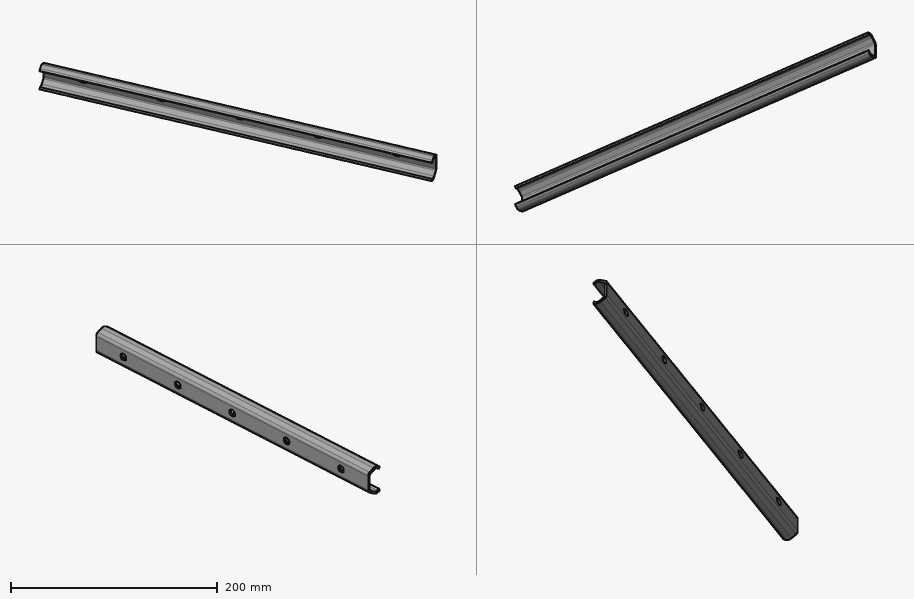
import cadquery as cq
import math

LENGTH = 400.0
DEPTH = 15.0
HEIGHT = 29.5
THICKNESS = 2.5

FLANK_ANGLE = math.radians(30)
CREST_RADIUS = 6.0
CREST_OFFSET = 10.0
WEB_RADIUS = 4.0

SLOT_COUNT = 5
SLOT_PITCH = LENGTH / SLOT_COUNT
SLOT_LENGTH = 8.5
SLOT_WIDTH = 6.5

BACK_Y = DEPTH / 2
FRONT_Y = -DEPTH / 2
CREST_Y = BACK_Y - CREST_OFFSET


def bend(solid, y, z, radius):
    """Round the lengthwise edge at (y, z)."""
    margin = THICKNESS / 10
    picker = cq.selectors.BoxSelector(
        (-LENGTH, y - margin, z - margin),
        (LENGTH, y + margin, z + margin),
    )
    return solid.edges("|X").edges(picker).fillet(radius)


def upper_half():
    """Upper half of the rail: half web, sloping flank and returning lip."""
    slope = math.tan(FLANK_ANGLE)
    wall_drop = THICKNESS / math.cos(FLANK_ANGLE)

    apex_z = HEIGHT / 2 + CREST_RADIUS * (1 / math.cos(FLANK_ANGLE) - 1)
    outer_web = (BACK_Y, apex_z - CREST_OFFSET * slope)
    outer_crest = (CREST_Y, apex_z)
    outer_tip = (FRONT_Y, apex_z - (CREST_Y - FRONT_Y) * slope)
    inner_tip = (
        outer_tip[0] + THICKNESS * math.sin(FLANK_ANGLE),
        outer_tip[1] - THICKNESS * math.cos(FLANK_ANGLE),
    )
    inner_crest = (CREST_Y, apex_z - wall_drop)
    inner_web = (BACK_Y - THICKNESS, outer_web[1] + THICKNESS * slope - wall_drop)

    half = (
        cq.Workplane("YZ")
        .moveTo(BACK_Y, 0)
        .lineTo(*outer_web)
        .lineTo(*outer_crest)
        .lineTo(*outer_tip)
        .lineTo(*inner_tip)
        .lineTo(*inner_crest)
        .lineTo(*inner_web)
        .lineTo(BACK_Y - THICKNESS, 0)
        .close()
        .extrude(LENGTH / 2, both=True)
    )
    half = bend(half, *outer_crest, CREST_RADIUS)
    half = bend(half, *inner_crest, CREST_RADIUS - THICKNESS)
    half = bend(half, *outer_web, WEB_RADIUS)
    return bend(half, *inner_web, WEB_RADIUS - THICKNESS)


def mounting_slots():
    """Row of slots, long along X, cutting through the web."""
    return (
        cq.Workplane("XZ")
        .rarray(SLOT_PITCH, 4, SLOT_COUNT, 1)
        .slot2D(SLOT_LENGTH, SLOT_WIDTH)
        .extrude(DEPTH, both=True)
    )


top = upper_half()
rail = top.union(top.mirror("XY")).clean()
result = rail.cut(mounting_slots())